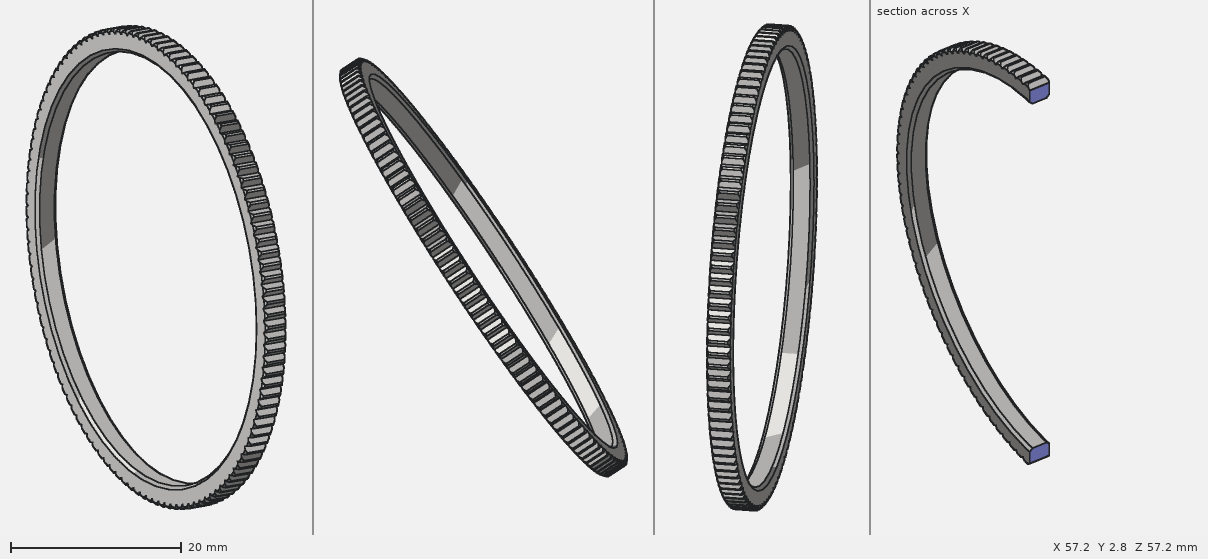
import cadquery as cq
import math

OUTER_RADIUS = 28.6
BORE_RADIUS = 25.85
WIDTH = 2.8

GROOVE_COUNT = 120
GROOVE_DEPTH = 0.6
GROOVE_ANGLE = 90
RIM_CHAMFER_RADIAL = 0.3
RIM_CHAMFER_AXIAL = 0.25

BORE_CHAMFER = 0.4

HALF_WIDTH = WIDTH / 2


def polar_point(radius, angle):
    return radius * math.cos(angle), radius * math.sin(angle)


def ring_blank():
    """Plain ring turned about the Y axis, with both rim edges and both bore ends chamfered."""
    rim_end_radius = OUTER_RADIUS - RIM_CHAMFER_RADIAL
    rim_edge_y = HALF_WIDTH - RIM_CHAMFER_AXIAL
    bore_end_radius = BORE_RADIUS + BORE_CHAMFER
    bore_edge_y = HALF_WIDTH - BORE_CHAMFER
    section = [
        (bore_end_radius, -HALF_WIDTH),
        (rim_end_radius, -HALF_WIDTH),
        (OUTER_RADIUS, -rim_edge_y),
        (OUTER_RADIUS, rim_edge_y),
        (rim_end_radius, HALF_WIDTH),
        (bore_end_radius, HALF_WIDTH),
        (BORE_RADIUS, bore_edge_y),
        (BORE_RADIUS, -bore_edge_y),
    ]
    return cq.Workplane("XY").polyline(section).close().revolve(360, (0, 0), (0, 1))


def toothed_disc():
    """Full-width star between V grooves, one groove centred on +X; its points lie outside the ring."""
    root_radius = OUTER_RADIUS - GROOVE_DEPTH
    half_pitch = math.pi / GROOVE_COUNT
    half_groove = math.radians(GROOVE_ANGLE / 2)
    point_radius = root_radius * math.sin(half_groove) / math.sin(half_groove - half_pitch)
    outline = []
    for index in range(GROOVE_COUNT):
        groove_position = 2 * half_pitch * index
        outline.append(polar_point(root_radius, groove_position))
        outline.append(polar_point(point_radius, groove_position + half_pitch))
    return cq.Workplane("XZ").polyline(outline).close().extrude(HALF_WIDTH, both=True)


result = ring_blank().intersect(toothed_disc()).solids()